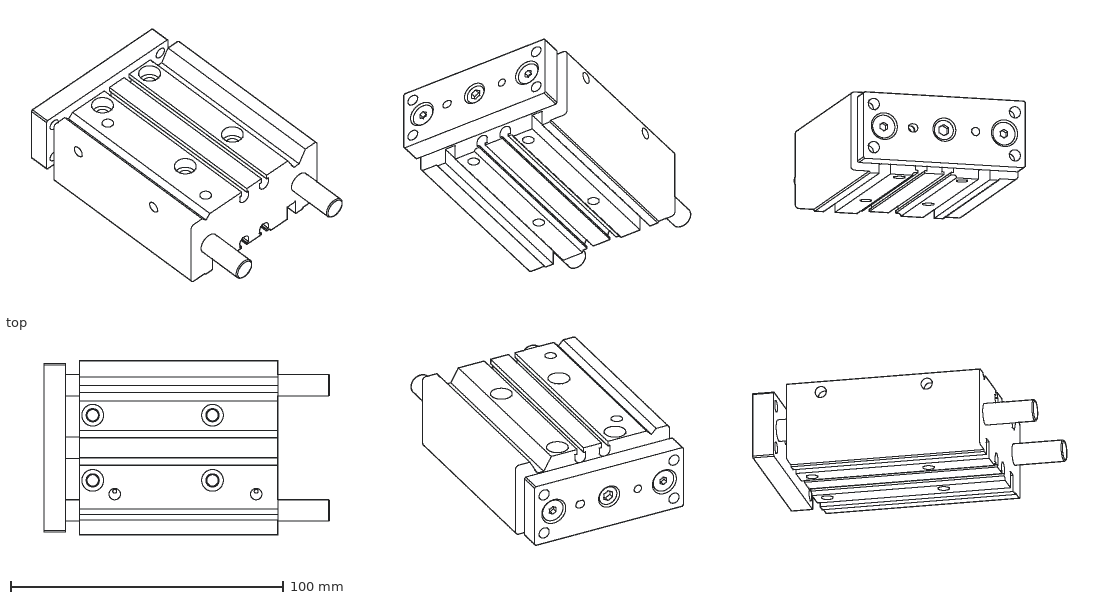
import cadquery as cq
TOTAL_LENGTH = 105.0
PLATE_THICKNESS = 8.0
PLATE_WIDTH = 62.0
PLATE_HEIGHT = 25.0
PLATE_EDGE_CHAMFER = 0.5

BODY_START = 13.0
BODY_END = 86.0
BODY_WIDTH = 64.0
BODY_HEIGHT = 30.0
BODY_LENGTH = BODY_END - BODY_START
BODY_TOP = BODY_HEIGHT / 2
BODY_BOTTOM = -BODY_HEIGHT / 2
BODY_CORNER_RADIUS = 1.5

ROD_DIAMETER = 8.0
ROD_TIP_CHAMFER = 0.4
GUIDE_ROD_Y = 23.0
GUIDE_ROD_YS = (-GUIDE_ROD_Y, GUIDE_ROD_Y)
PISTON_ROD_END = 63.0
GUIDE_RECESS_DIAMETER = 10.0
PISTON_RECESS_DIAMETER = 8.7
RECESS_DEPTH = 0.7
GUIDE_HEX_ACROSS_FLATS = 2.7
HEX_DEPTH = 2.1
HEX_SIDES = 6
PISTON_HEX_ACROSS_FLATS = 3.6

PLATE_HOLE_DIAMETER = 4.2
PLATE_HOLE_Y = 27.0
PLATE_HOLE_Z = 8.1
DOWEL_DIAMETER = 3.0
DOWEL_Y = 12.0
DOWEL_SLOT_LENGTH = 3.6
DOWEL_SLOT_DEPTH = PLATE_THICKNESS / 2

WIDE_GROOVE_EDGES = (26.0, 17.1)
WIDE_GROOVE_FLOOR = (22.9, 20.3)
WIDE_GROOVE_DEPTH = 5.5
VEE_GROOVE_Y = -24.5
VEE_GROOVE_DEPTH = 2.0

SENSOR_SLOT_Y = 5.0
SENSOR_NECK_WIDTH = 2.6
SENSOR_CHANNEL_WIDTH = 4.4
SENSOR_LEDGE_Z = 13.0
SENSOR_CHANNEL_AXIS_Z = 11.3

SIDE_RELIEF = 0.6
SIDE_RELIEF_Y = 25.0
SIDE_RELIEF_SLOPE = 0.4
CENTER_RELIEF = 1.0
CENTER_RELIEF_WIDTH = 16.8
CENTER_RELIEF_RADIUS = 0.9
MOUNT_SLOT_Y = 19.0
MOUNT_SLOT_WIDTH = 4.3
MOUNT_SLOT_DEPTH = 6.3

MOUNT_HOLE_XS = (18.0, 62.0)
MOUNT_HOLE_Y = 12.0
MOUNT_HOLE_DIAMETER = 4.8
MOUNT_THREAD_DIAMETER = 4.2
MOUNT_THREAD_DEPTH = 10.5
COUNTERBORE_DIAMETER = 8.0
COUNTERBORE_DEPTH = 4.5
PORT_DIAMETER = 4.2
PORT_DEPTH = 5.2
PASSAGE_DIAMETER = 1.5
PASSAGE_DEPTH = 8.4
PASSAGE_OFFSET = 1.0
TOP_PORT_XS = (26.0, 78.0)
TOP_PORT_Y = -17.0
SIDE_PORT_XS = (26.0, 66.0)
SIDE_PORT_Z = 10.5


def cylinder_x(diameter, start, end, y, z=0.0):
    """Cylinder along X between two X positions."""
    return cq.Workplane("YZ", origin=(start, y, z)).circle(diameter / 2).extrude(end - start)


def cylinder_down(diameter, depth, x, y):
    """Cylinder going down from the top face of the body."""
    return cq.Workplane("XY", origin=(x, y, BODY_TOP)).circle(diameter / 2).extrude(-depth)


def cylinder_inward(diameter, depth, x, z):
    """Cylinder going in +Y from the -Y side of the body."""
    return cq.Workplane("XZ", origin=(x, -BODY_WIDTH / 2, z)).circle(diameter / 2).extrude(-depth)


def body_prism(points):
    """Prism with a YZ outline over the whole length of the body."""
    return cq.Workplane("YZ", origin=(BODY_START, 0, 0)).polyline(points).close().extrude(BODY_LENGTH)


def body_bar(y, width, z_low, z_high):
    """Rectangular bar centred at y over the whole length of the body."""
    left = y - width / 2
    right = y + width / 2
    return body_prism([(left, z_low), (right, z_low), (right, z_high), (left, z_high)])


def body_blank():
    """Extruded block with rounded corners and a stepped bottom."""
    relief_z = BODY_BOTTOM + SIDE_RELIEF
    block = (
        body_bar(0, BODY_WIDTH, relief_z, BODY_TOP)
        .edges("|X").fillet(BODY_CORNER_RADIUS)
    )
    foot_y = SIDE_RELIEF_Y - SIDE_RELIEF_SLOPE
    foot = body_prism([
        (-SIDE_RELIEF_Y, relief_z), (-foot_y, BODY_BOTTOM),
        (foot_y, BODY_BOTTOM), (SIDE_RELIEF_Y, relief_z),
    ])
    center_relief = (
        body_bar(0, CENTER_RELIEF_WIDTH, BODY_BOTTOM, BODY_BOTTOM + CENTER_RELIEF)
        .edges("|X and >Z").fillet(CENTER_RELIEF_RADIUS)
    )
    return block.union(foot).cut(center_relief)


def wide_groove():
    floor_z = BODY_TOP - WIDE_GROOVE_DEPTH
    return body_prism([
        (WIDE_GROOVE_EDGES[0], BODY_TOP), (WIDE_GROOVE_FLOOR[0], floor_z),
        (WIDE_GROOVE_FLOOR[1], floor_z), (WIDE_GROOVE_EDGES[1], BODY_TOP),
    ])


def vee_groove():
    return body_prism([
        (VEE_GROOVE_Y - VEE_GROOVE_DEPTH, BODY_TOP), (VEE_GROOVE_Y, BODY_TOP - VEE_GROOVE_DEPTH),
        (VEE_GROOVE_Y + VEE_GROOVE_DEPTH, BODY_TOP),
    ])


def sensor_slot(y):
    """Narrow neck opening into a wider channel with a round floor."""
    neck = body_bar(y, SENSOR_NECK_WIDTH, SENSOR_CHANNEL_AXIS_Z, BODY_TOP)
    channel = body_bar(y, SENSOR_CHANNEL_WIDTH, SENSOR_CHANNEL_AXIS_Z, SENSOR_LEDGE_Z)
    floor = cylinder_x(SENSOR_CHANNEL_WIDTH, BODY_START, BODY_END, y, SENSOR_CHANNEL_AXIS_Z)
    return neck.union(channel).union(floor)


def mounting_hole(x, y):
    """Counterbored through hole with a narrower threaded end at the bottom."""
    shank_depth = BODY_HEIGHT - MOUNT_THREAD_DEPTH
    return (
        cylinder_down(MOUNT_THREAD_DIAMETER, BODY_HEIGHT, x, y)
        .union(cylinder_down(MOUNT_HOLE_DIAMETER, shank_depth, x, y))
        .union(cylinder_down(COUNTERBORE_DIAMETER, COUNTERBORE_DEPTH, x, y))
    )


def top_port(x):
    """Air port with a small passage set off towards the piston axis."""
    passage = cylinder_down(PASSAGE_DIAMETER, PASSAGE_DEPTH, x, TOP_PORT_Y + PASSAGE_OFFSET)
    return cylinder_down(PORT_DIAMETER, PORT_DEPTH, x, TOP_PORT_Y).union(passage)


def side_port(x):
    """Air port with a small passage set off towards the piston axis."""
    passage = cylinder_inward(PASSAGE_DIAMETER, PASSAGE_DEPTH, x, SIDE_PORT_Z - PASSAGE_OFFSET)
    return cylinder_inward(PORT_DIAMETER, PORT_DEPTH, x, SIDE_PORT_Z).union(passage)


def make_housing():
    mount_slot_top = BODY_BOTTOM + MOUNT_SLOT_DEPTH
    housing = body_blank().cut(wide_groove()).cut(vee_groove())
    for side in (-1, 1):
        slot = sensor_slot(side * SENSOR_SLOT_Y)
        housing = housing.cut(slot).cut(slot.mirror("XY"))
        housing = housing.cut(body_bar(side * MOUNT_SLOT_Y, MOUNT_SLOT_WIDTH, BODY_BOTTOM, mount_slot_top))
        for x in MOUNT_HOLE_XS:
            housing = housing.cut(mounting_hole(x, side * MOUNT_HOLE_Y))
    for x in TOP_PORT_XS:
        housing = housing.cut(top_port(x))
    for x in SIDE_PORT_XS:
        housing = housing.cut(side_port(x))
    for y in GUIDE_ROD_YS:
        housing = housing.cut(cylinder_x(ROD_DIAMETER, BODY_START, BODY_END, y))
    return housing.cut(cylinder_x(ROD_DIAMETER, BODY_START, PISTON_ROD_END, 0))


def conical_recess(diameter, y):
    """45 degree countersink in the outer plate face."""
    return (
        cq.Workplane("YZ", origin=(0, y, 0)).circle(diameter / 2)
        .workplane(offset=RECESS_DEPTH).circle(diameter / 2 - RECESS_DEPTH).loft()
    )


def hex_socket(across_flats, y):
    """Hexagonal key socket in a rod end, with a corner pointing up."""
    outline = cq.Workplane("YZ", origin=(RECESS_DEPTH, y, 0))
    outline = outline.polygon(HEX_SIDES, across_flats, circumscribed=True)
    return outline.extrude(HEX_DEPTH)


def end_plate():
    plate = (
        cq.Workplane("XY").box(PLATE_THICKNESS, PLATE_WIDTH, PLATE_HEIGHT, centered=(False, True, True))
        .edges("|X").chamfer(PLATE_EDGE_CHAMFER)
    )
    for y in (-PLATE_HOLE_Y, PLATE_HOLE_Y):
        for z in (-PLATE_HOLE_Z, PLATE_HOLE_Z):
            plate = plate.cut(cylinder_x(PLATE_HOLE_DIAMETER, 0, PLATE_THICKNESS, y, z))
    dowel_slot = (
        cq.Workplane("YZ", origin=(0, DOWEL_Y, 0))
        .slot2D(DOWEL_SLOT_LENGTH, DOWEL_DIAMETER).extrude(DOWEL_SLOT_DEPTH)
    )
    for y in (-DOWEL_Y, DOWEL_Y):
        plate = plate.cut(cylinder_x(DOWEL_DIAMETER, 0, PLATE_THICKNESS, y))
    return plate.cut(dowel_slot)


def make_slide():
    """Moving unit: the end plate with two long guide rods and the piston rod."""
    slide = end_plate()
    for y in GUIDE_ROD_YS:
        rod = cylinder_x(ROD_DIAMETER, PLATE_THICKNESS, TOTAL_LENGTH, y)
        slide = slide.union(rod.faces(">X").chamfer(ROD_TIP_CHAMFER))
        slide = slide.cut(conical_recess(GUIDE_RECESS_DIAMETER, y))
        slide = slide.cut(hex_socket(GUIDE_HEX_ACROSS_FLATS, y))
    piston_rod = cylinder_x(ROD_DIAMETER, PLATE_THICKNESS, PISTON_ROD_END, 0)
    return (
        slide.union(piston_rod)
        .cut(conical_recess(PISTON_RECESS_DIAMETER, 0))
        .cut(hex_socket(PISTON_HEX_ACROSS_FLATS, 0))
    )


housing = make_housing()
slide = make_slide()

result = cq.Compound.makeCompound([housing.solids().val(), slide.solids().val()])